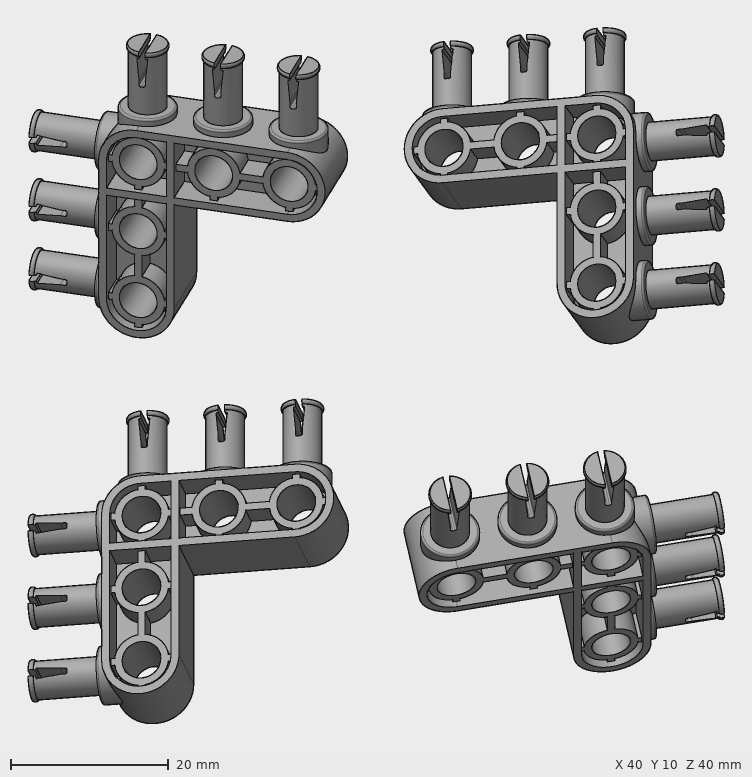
import cadquery as cq

pitch = 10.0
holes_per_arm = 3
body_width = 10.0
body_depth = 10.0
wall = 1.05
hole_dia = 5.0
boss_dia = 7.0
rib_width = 0.95
boss_recess = 0.8
web_thickness = 1.0

pin_length = 10.0
pin_dia = 4.95
head_dia = 5.45
head_height = 0.68
head_face_dia = 5.1
collar_dia = 7.5
collar_height = 1.0
collar_round = 0.28

slot_width = 0.85
slot_wide_width = 1.45
slot_mouth_depth = 0.9
slot_shoulder_depth = 1.08
slot_taper_depth = 4.15
slot_depth = 5.05
slot_end_round = 0.28

half_width = body_width / 2
arm_length = (holes_per_arm - 1) * pitch
x_stations = [i * pitch for i in range(holes_per_arm)]
z_stations = [-i * pitch for i in range(holes_per_arm)]
hole_points = [(x, 0) for x in x_stations] + [(0, z) for z in z_stations[1:]]


def mid_plane(depth, sketch):
    """Extrude a sketch of the XZ plane to a given depth, centred on Y = 0."""
    return sketch(cq.Workplane("XZ")).extrude(depth / 2, both=True)


def cylinders(diameter, depth):
    """One cylinder on every hole axis, centred on Y = 0."""
    return mid_plane(depth, lambda wp: wp.pushPoints(hole_points).circle(diameter / 2))


def box(x_min, x_max, z_min, z_max, depth):
    """Block between the given X and Z limits, centred on Y = 0."""
    centre = ((x_min + x_max) / 2, (z_min + z_max) / 2)
    return mid_plane(depth, lambda wp: wp.center(*centre).rect(x_max - x_min, z_max - z_min))


def l_shape(radius):
    """Two round-ended beams of the given end radius that share the corner hole axis."""
    slot_length = arm_length + 2 * radius
    mid = arm_length / 2
    arm_x = mid_plane(body_depth, lambda wp: wp.center(mid, 0).slot2D(slot_length, 2 * radius))
    arm_z = mid_plane(body_depth, lambda wp: wp.center(0, -mid).slot2D(slot_length, 2 * radius, 90))
    return arm_x.union(arm_z)


def pocket_shape():
    """The L inset by the wall, divided into three cells by two walls around the corner hole."""
    inner = half_width - wall
    upright_wall = box(inner, half_width, -half_width, half_width, body_depth)
    level_wall = box(-half_width, half_width, -half_width, -inner, body_depth)
    return l_shape(inner).cut(upright_wall).cut(level_wall)


def pocket_filling():
    """Bosses around the holes, ribs through their axes, and the web at mid depth."""
    depth = body_depth - 2 * boss_recess
    half_rib = rib_width / 2
    reach = arm_length + half_width
    filling = cylinders(boss_dia, depth)
    for x in x_stations:
        bottom = -reach if x == 0 else -half_width
        filling = filling.union(box(x - half_rib, x + half_rib, bottom, half_width, depth))
    for z in z_stations:
        right = reach if z == 0 else half_width
        filling = filling.union(box(-half_width, right, z - half_rib, z + half_rib, depth))
    return filling.union(box(-half_width, reach, -reach, half_width, web_thickness))


def slot_cutter():
    """Keyhole-like slot: narrow mouth, wide tapering middle and a narrow end with rounded corners."""
    narrow = slot_width / 2
    wide = slot_wide_width / 2
    tip = half_width + pin_length
    return (
        cq.Workplane("XZ")
        .moveTo(-narrow, tip)
        .lineTo(-narrow, tip - slot_mouth_depth)
        .lineTo(-wide, tip - slot_shoulder_depth)
        .lineTo(-narrow, tip - slot_taper_depth)
        .lineTo(-narrow, tip - slot_depth)
        .lineTo(narrow, tip - slot_depth)
        .lineTo(narrow, tip - slot_taper_depth)
        .lineTo(wide, tip - slot_shoulder_depth)
        .lineTo(narrow, tip - slot_mouth_depth)
        .lineTo(narrow, tip)
        .close()
        .extrude(head_dia, both=True)
        .edges("|Y and <Z")
        .fillet(slot_end_round)
    )


def make_head():
    """Disc at the pin tip whose rim bulges outward in a single arc."""
    tip = half_width + pin_length
    face_radius = head_face_dia / 2
    return (
        cq.Workplane("XZ")
        .moveTo(0, tip - head_height)
        .lineTo(face_radius, tip - head_height)
        .threePointArc((head_dia / 2, tip - head_height / 2), (face_radius, tip))
        .lineTo(0, tip)
        .close()
        .revolve(360, (0, 0), (0, 1))
    )


def make_pin():
    """Upright pin on the corner hole axis; its collar runs down to meet the rounded body ends."""
    base = cq.Workplane("XY")
    collar = base.circle(collar_dia / 2).extrude(half_width + collar_height)
    collar = collar.faces(">Z").edges().fillet(collar_round)
    shaft = base.circle(pin_dia / 2).extrude(half_width + pin_length)
    return collar.union(shaft).union(make_head()).cut(slot_cutter())


body = l_shape(half_width)
pin = make_pin()
left_pin = pin.rotate((0, 0, 0), (0, 1, 0), -90)
for x in x_stations:
    body = body.union(pin.translate((x, 0, 0)))
for z in z_stations:
    body = body.union(left_pin.translate((0, 0, z)))

pockets = pocket_shape()
body = body.cut(pockets).union(pocket_filling().intersect(pockets))
result = body.cut(cylinders(hole_dia, body_depth))